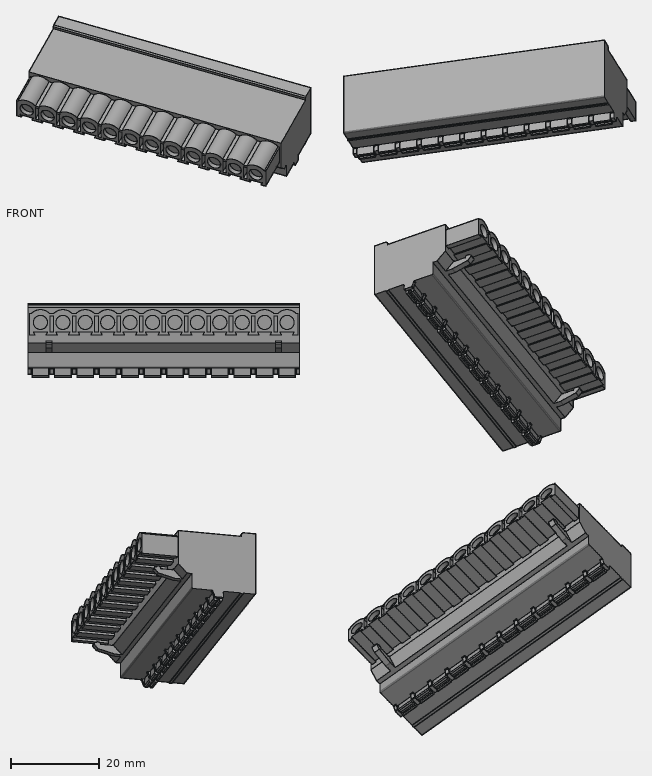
import cadquery as cq
import math


length = 61.6
depth = 26.6
height = 16.7

pole_count = 12
pitch = 5.08
pole_xs = [(i - (pole_count - 1) / 2) * pitch for i in range(pole_count)]
between_xs = [(i - pole_count / 2) * pitch for i in range(1, pole_count)]

ridge_depth = 3.3
ridge_height = 0.9
ridge_chamfer = 0.3
housing_front = -18.2
step_front = -15.0
slope_start = -16.15
slope_top = -8.9
step_top = -11.0
housing_bottom = -14.6
bottom_fillet = 0.25
rib_back = -2.95
rib_width = 0.7
rib_height = 0.2

sleeve_margin = 0.4
sleeve_top = -1.35
shoulder_top = -2.3
sleeve_bottom = -7.1
sleeve_radius = 2.9
hole_radius = 1.6
hole_depth = 1.1
slot_width = 0.8
slot_top = -2.85
slot_bottom = -6.4
keyway_roof_width = 3.2
keyway_mouth_width = 2.5

hook_width = 1.4
hook_inset = 4.05
hook_shelf = -9.0
hook_root_chamfer = 0.25
hook_underside_bend = -17.85
barb_heel = (-21.1, hook_shelf)
barb_top_back = (-21.5, -8.45)
barb_top_front = (-22.0, -8.45)
barb_nose_top = (-22.65, -8.8)
barb_nose_bottom = (-22.7, -9.1)
barb_underside = (-21.8, -10.1)

foot_back = -7.65
foot_front = -9.65
foot_width = 3.8
foot_chamfer = 0.2
foot_taper_height = 0.45
notch_back = -8.25
notch_front = -8.9
web_bottom = -16.1
web_top_front = -10.1
web_root = 0.2
web_gap = 0.2
web_edge_chamfer = 0.155


def along_x(profile, x_start, x_end):
    """Extrude a closed (Y, Z) profile from x_start to x_end."""
    plane = cq.Workplane("YZ", origin=(x_start, 0, 0))
    return plane.polyline(profile).close().extrude(x_end - x_start)


def block(x_center, width, y_back, y_front, z_top, z_bottom):
    """Box given by its X middle and width and its Y and Z limits."""
    center = (x_center, (y_back + y_front) / 2, (z_top + z_bottom) / 2)
    return cq.Workplane().box(width, y_back - y_front, z_top - z_bottom).translate(center)


def make_housing():
    profile = [
        (0, 0),
        (-ridge_depth + ridge_chamfer, 0),
        (-ridge_depth, -ridge_chamfer),
        (-ridge_depth, -ridge_height),
        (housing_front, -ridge_height),
        (housing_front, slope_top),
        (slope_start, step_top),
        (step_front, step_top),
        (step_front, housing_bottom),
        (0, housing_bottom),
    ]
    housing = along_x(profile, -length / 2, length / 2)
    housing = housing.faces("<Z").edges("|X").fillet(bottom_fillet)
    rib_bottom = housing_bottom - rib_height
    rib = block(0, length, rib_back, rib_back - rib_width, housing_bottom, rib_bottom)
    return housing.union(rib)


def front_plane():
    """Plane on the sleeve front face: local x is X, local y is Z, normal towards -Y."""
    return cq.Workplane("XZ", origin=(0, -depth, 0))


def make_sleeves():
    sleeve_length = depth + housing_front
    sleeve_width = length - 2 * sleeve_margin
    axis_z = sleeve_top - sleeve_radius
    axes = [(x, axis_z) for x in pole_xs]

    sleeves = block(0, sleeve_width, housing_front, -depth, shoulder_top, sleeve_bottom)
    crown_half_width = math.sqrt(sleeve_radius**2 - (shoulder_top - axis_z) ** 2)
    for x in pole_xs:
        crown = front_plane().moveTo(x - crown_half_width, shoulder_top)
        crown = crown.threePointArc((x, sleeve_top), (x + crown_half_width, shoulder_top))
        sleeves = sleeves.union(crown.close().extrude(-sleeve_length))

    sleeves = sleeves.cut(front_plane().pushPoints(axes).circle(hole_radius).extrude(-hole_depth))
    for x in between_xs:
        sleeves = sleeves.cut(block(x, slot_width, housing_front, -depth, slot_top, slot_bottom))
    for x in pole_xs:
        keyway = [
            (x - keyway_roof_width / 2, slot_bottom),
            (x + keyway_roof_width / 2, slot_bottom),
            (x + keyway_mouth_width / 2, sleeve_bottom),
            (x - keyway_mouth_width / 2, sleeve_bottom),
        ]
        sleeves = sleeves.cut(front_plane().polyline(keyway).close().extrude(-sleeve_length))
    return sleeves


def make_hooks():
    profile = [
        (slope_start, step_top),
        (housing_front, slope_top),
        (housing_front, hook_shelf + hook_root_chamfer),
        (housing_front - hook_root_chamfer, hook_shelf),
        barb_heel,
        barb_top_back,
        barb_top_front,
        barb_nose_top,
        barb_nose_bottom,
        barb_underside,
        (hook_underside_bend, step_top),
    ]
    inner = length / 2 - hook_inset - hook_width
    left = along_x(profile, -inner - hook_width, -inner)
    right = along_x(profile, inner, inner + hook_width)
    return left.union(right)


def make_foot(x):
    profile = [
        (foot_back, housing_bottom + bottom_fillet),
        (foot_back, -height + foot_chamfer),
        (foot_back - foot_chamfer, -height),
        (notch_back, -height),
        (notch_back, web_bottom),
        (notch_front, web_bottom),
        (notch_front, -height),
        (foot_front + foot_chamfer, -height),
        (foot_front, -height + foot_taper_height),
        (foot_front, housing_bottom + bottom_fillet),
    ]
    return along_x(profile, x - foot_width / 2, x + foot_width / 2)


def make_web(x_start, x_end):
    profile = [
        (foot_back + web_root, housing_bottom),
        (foot_back, housing_bottom - web_root),
        (foot_back, web_bottom),
        (foot_front + web_edge_chamfer, web_bottom),
        (foot_front, web_bottom + web_edge_chamfer),
        (web_top_front, housing_bottom - web_root),
        (web_top_front - web_root, housing_bottom),
    ]
    return along_x(profile, x_start, x_end)


def make_webs():
    """Webs between neighbouring feet, plus one beyond the outermost foot at each end."""
    half_width = (pitch - foot_width) / 2 - web_gap
    end_inner = pole_xs[-1] + foot_width / 2 + web_gap
    webs = make_web(end_inner, length / 2)
    webs = webs.union(make_web(-length / 2, -end_inner))
    for x in between_xs:
        webs = webs.union(make_web(x - half_width, x + half_width))
    return webs


result = make_housing().union(make_sleeves()).union(make_hooks()).union(make_webs())
for pole_x in pole_xs:
    result = result.union(make_foot(pole_x))